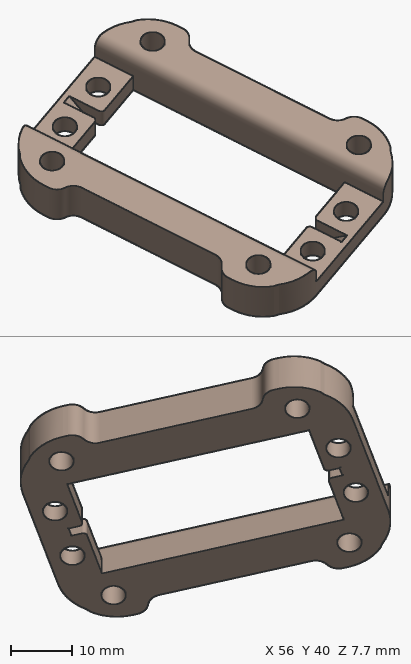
import cadquery as cq
import math

length = 56.0
width = 40.0
height = 7.7
half_length = length / 2
half_width = width / 2

side_arc_start_y = 10.1
corner_flat_outer = (25.1, 16.7)
corner_flat_inner = (24.6, 17.4)
end_arc_stop_x = 18.3

flank_outer_x = 17.4
flank_inner_x = 12.95
recess_y = 17.1

channel_width = 20.0
floor_height = 3.6
rail_round = 2.0
window_length = 41.0

hole_diameter = 4.0
corner_hole_x = 20.0
corner_hole_y = 15.0
floor_hole_x = 24.0
floor_hole_y = 5.0

slot_width = 1.6
slot_end_margin = 1.05
ramp_run = 4.0
slot_mouth_round = 0.7


def quarter_body():
    """Solid quarter in +X +Y, with the outer corner and half of the side recess."""
    flank_middle = ((flank_outer_x + flank_inner_x) / 2, (half_width + recess_y) / 2)
    outline = (
        cq.Workplane("XY")
        .lineTo(0, recess_y)
        .lineTo(flank_inner_x, recess_y)
        .tangentArcPoint(flank_middle, relative=False)
        .tangentArcPoint((flank_outer_x, half_width), relative=False)
        .lineTo(end_arc_stop_x, half_width)
        .tangentArcPoint(corner_flat_inner, relative=False)
        .lineTo(*corner_flat_outer)
        .threePointArc(side_arc_middle(), (half_length, side_arc_start_y))
        .lineTo(half_length, 0)
        .close()
    )
    return outline.extrude(height)


def side_arc_middle():
    """Middle point of the corner arc that is tangent to the short side."""
    inset = half_length - corner_flat_outer[0]
    rise = corner_flat_outer[1] - side_arc_start_y
    radius = (inset**2 + rise**2) / (2 * inset)
    half_angle = math.asin(rise / radius) / 2
    center_x = half_length - radius
    return (
        center_x + radius * math.cos(half_angle),
        side_arc_start_y + radius * math.sin(half_angle),
    )


def frame_body():
    """Full outline, mirrored from one quarter."""
    quarter = quarter_body()
    half = quarter.union(quarter.mirror("YZ"))
    return half.union(half.mirror("XZ")).clean()


def channel():
    """Channel cutter along X whose upper edges flare out to round the rails."""
    wall_y = channel_width / 2
    round_start_z = height - rail_round
    bend = rail_round * (1 - math.sqrt(0.5))
    profile = (
        cq.Workplane("YZ", origin=(-half_length, 0, 0))
        .moveTo(-wall_y, floor_height)
        .lineTo(wall_y, floor_height)
        .lineTo(wall_y, round_start_z)
        .threePointArc((wall_y + bend, height - bend), (wall_y + rail_round, height))
        .lineTo(-wall_y - rail_round, height)
        .threePointArc((-wall_y - bend, height - bend), (-wall_y, round_start_z))
        .close()
    )
    return profile.extrude(length)


def window():
    """Rectangular opening through the channel floor."""
    return cq.Workplane("XY").rect(window_length, channel_width).extrude(height)


def ramped_slots():
    """Cutter for both slots: one long trapezoid with a ramp at each end."""
    top_x = half_length - slot_end_margin
    bottom_x = top_x - ramp_run
    profile = cq.Workplane("XZ").polyline(
        [(-bottom_x, 0), (bottom_x, 0), (top_x, floor_height), (-top_x, floor_height)]
    ).close()
    return profile.extrude(slot_width / 2, both=True)


def round_slot_mouths(body):
    """Round the vertical edges where the slots meet the window."""
    mouth_x = window_length / 2
    tolerance = 0.05
    mouths = cq.selectors.BoxSelector(
        (-mouth_x - tolerance, -slot_width / 2 - tolerance, 0),
        (mouth_x + tolerance, slot_width / 2 + tolerance, floor_height),
    )
    return body.edges("|Z").edges(mouths).fillet(slot_mouth_round)


def screw_holes():
    """Eight through holes: four in the rails and four in the channel floor."""
    centers = [
        (side_x * x, side_y * y)
        for x, y in ((corner_hole_x, corner_hole_y), (floor_hole_x, floor_hole_y))
        for side_x in (-1, 1)
        for side_y in (-1, 1)
    ]
    return cq.Workplane("XY").pushPoints(centers).circle(hole_diameter / 2).extrude(height)


frame = frame_body().cut(channel()).cut(window()).cut(ramped_slots())
result = round_slot_mouths(frame).cut(screw_holes())